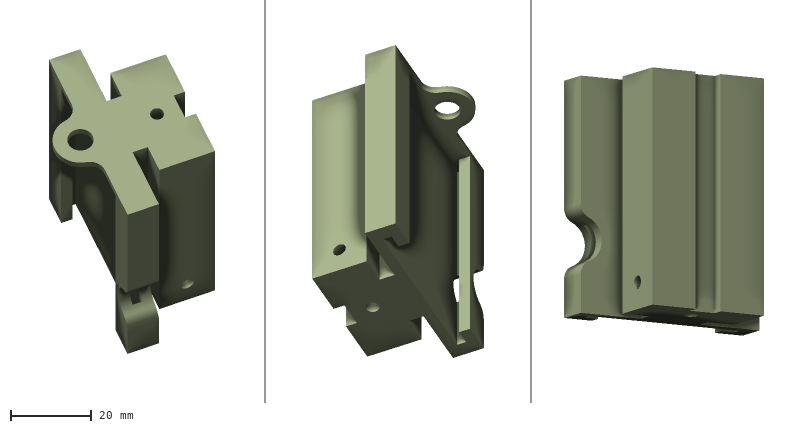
import cadquery as cq
import math

height = 59.8

plate_width = 51.0
plate_depth = 8.45
neck_width = 16.85
neck_depth = 4.05
block_width = 31.9
block_depth = 14.95
block_front = plate_depth + neck_depth
back = block_front + block_depth

groove_width = 7.2
groove_depth = 3.0

top_thickness = 1.9
pocket_width = 35.1
lip_thickness = 3.0
pocket_depth = 5.5
slot_width = 43.05

tab_reach = 36.5 - back
tab_radius = 6.95
tab_center_y = tab_radius - tab_reach
tab_fillet = 4.05
tab_hole_diameter = 6.5

small_diameter = 3.45
upright_hole_from_back = 8.95
cross_hole_from_back = block_depth / 2
cross_hole_z = 6.75

notch_depth = 5.9
notch_radius = 6.0
notch_z = 18.7
notch_half_opening = 8.85


def box(width, front, rear, bottom, top):
    """Box centred on X = 0, between the given Y and Z limits."""
    size = (width, rear - front, top - bottom)
    return cq.Workplane("XY").box(*size, centered=(True, False, False)).translate((0, front, bottom))


def upright_cylinder(diameter, y):
    return cq.Workplane("XY").center(0, y).circle(diameter / 2).extrude(height)


def make_body():
    plate = box(plate_width, 0, plate_depth, 0, height)
    neck = box(neck_width, plate_depth, block_front, 0, height)
    block = box(block_width, block_front, back, 0, height)
    groove = box(groove_width, back - groove_depth, back, 0, height)
    return plate.union(neck).union(block).cut(groove)


def make_pocket():
    pocket_top = height - top_thickness
    opening = box(pocket_width, 0, pocket_depth, 0, pocket_top)
    slot = box(slot_width, lip_thickness, pocket_depth, 0, pocket_top)
    return opening.union(slot)


def make_tab():
    """Round tab blended into the front face by two concave fillets."""
    radius_sum = tab_radius + tab_fillet
    center_rise = tab_center_y + tab_fillet
    fillet_x = math.sqrt(radius_sum**2 - center_rise**2)
    share = tab_radius / radius_sum
    tangent_x = share * fillet_x
    tangent_y = tab_center_y - share * center_rise
    middle_angle = (math.pi / 2 + math.atan2(center_rise, -fillet_x)) / 2
    middle_x = fillet_x + tab_fillet * math.cos(middle_angle)
    middle_y = -tab_fillet + tab_fillet * math.sin(middle_angle)
    return (
        cq.Workplane("XY", origin=(0, 0, height - top_thickness))
        .moveTo(-fillet_x, 0)
        .threePointArc((-middle_x, middle_y), (-tangent_x, tangent_y))
        .threePointArc((0, -tab_reach), (tangent_x, tangent_y))
        .threePointArc((middle_x, middle_y), (fillet_x, 0))
        .close()
        .extrude(top_thickness)
    )


def make_notch():
    """Round notch whose mouth flares out through two convex fillets."""
    edge_x = plate_width / 2
    center_offset = notch_radius - notch_depth
    fillet = (notch_half_opening**2 + center_offset**2 - notch_radius**2) / (2 * notch_depth)
    share = notch_radius / (notch_radius + fillet)
    tangent_x = edge_x + center_offset - share * (center_offset + fillet)
    tangent_z = share * notch_half_opening
    middle_angle = math.atan2(notch_half_opening, center_offset + fillet) / 2
    middle_x = edge_x - fillet + fillet * math.cos(middle_angle)
    middle_z = notch_half_opening - fillet * math.sin(middle_angle)
    return (
        cq.Workplane("XZ", origin=(0, plate_depth, notch_z))
        .moveTo(edge_x, -notch_half_opening)
        .threePointArc((middle_x, -middle_z), (tangent_x, -tangent_z))
        .threePointArc((edge_x - notch_depth, 0), (tangent_x, tangent_z))
        .threePointArc((middle_x, middle_z), (edge_x, notch_half_opening))
        .close()
        .extrude(plate_depth)
    )


def make_cross_hole():
    return (
        cq.Workplane("YZ")
        .center(back - cross_hole_from_back, cross_hole_z)
        .circle(small_diameter / 2)
        .extrude(block_width / 2, both=True)
    )


result = make_body().cut(make_pocket()).union(make_tab())
result = result.cut(upright_cylinder(tab_hole_diameter, tab_center_y))
result = result.cut(upright_cylinder(small_diameter, back - upright_hole_from_back))
result = result.cut(make_cross_hole())
result = result.cut(make_notch())